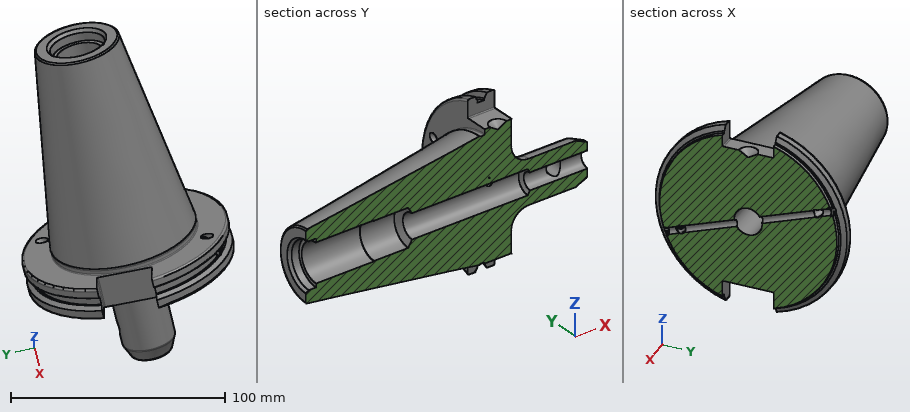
import cadquery as cq
import math


GAUGE_DIA = 69.85
TAPER_RATIO = 7 / 24
SHANK_LENGTH = 101.6
SHANK_CHAMFER = 0.7
RELIEF_DIA = 69.25
RELIEF_START = 1.0
RELIEF_FILLET = 0.4

FLANGE_DIA = 98.425
FLANGE_BACK = 3.175
FLANGE_FRONT = 19.05
FLANGE_ROUND = 1.0
GROOVE_CENTER = 11.1
GROOVE_FLOOR_DIA = 91.3
GROOVE_FLOOR_WIDTH = 3.85
GROOVE_MOUTH_WIDTH = 6.8
GROOVE_SIDE_ANGLE = 30.0

SLOT_WIDTH = 26.2
UPPER_SLOT_FLOOR = 37.6
LOWER_SLOT_FLOOR = 35.2
SLOT_FILLET = 0.5
DIMPLE_DIA = 9.53
DIMPLE_ANGLE = 118.0

PILOT_DIA = 25.4
PILOT_FILLET = 10.0
PROJECTION = 63.5
NOSE_START = 56.5
NOSE_DIA = 19.9
NOSE_BLEND = 0.35
NOSE_CHAMFER = 0.7

MOUTH_DIA = 28.6
MOUTH_CHAMFER_DEPTH = 1.7
COUNTERBORE_DIA = 26.2
COUNTERBORE_DEPTH = 6.0
THREAD_DIA = 21.97
THREAD_DEPTH = 40.0
DEEP_BORE_DIA = 21.5
DEEP_BORE_DEPTH = 60.0
MIDDLE_BORE_DIA = 14.0
MIDDLE_BORE_DEPTH = 130.0
THROUGH_BORE_DIA = 9.53
DRILL_POINT_ANGLE = 118.0

COOLANT_ANGLE = 20.0
COOLANT_RADIUS = 42.0
COOLANT_TILT = 34.0
COOLANT_MOUTH_DIA = 5.0
COOLANT_MOUTH_DEPTH = 2.6
COOLANT_DIA = 4.2
PLUG_DIA = 4.13
PLUG_DEPTH = 1.3
FEED_DIA = 3.24

SCREW_X = 47.0
SCREW_DIA = 8.38


def cone_height(large_dia, small_dia, point_angle):
    return (large_dia - small_dia) / 2 / math.tan(math.radians(point_angle / 2))


def make_body():
    shank_end = -SHANK_LENGTH
    taper_slope = TAPER_RATIO / 2
    gauge_r = GAUGE_DIA / 2
    small_r = gauge_r - taper_slope * SHANK_LENGTH
    relief_r = RELIEF_DIA / 2
    flange_r = FLANGE_DIA / 2
    floor_r = GROOVE_FLOOR_DIA / 2
    half_mouth = GROOVE_MOUTH_WIDTH / 2
    half_floor = GROOVE_FLOOR_WIDTH / 2
    slope_depth = (half_mouth - half_floor) / math.tan(math.radians(GROOVE_SIDE_ANGLE))
    slope_end_r = flange_r - slope_depth
    pilot_r = PILOT_DIA / 2
    nose_r = NOSE_DIA / 2
    nose_angle = math.atan2(pilot_r - nose_r, PROJECTION - NOSE_CHAMFER - NOSE_START)
    blend_end = (
        NOSE_START + NOSE_BLEND * math.cos(nose_angle),
        pilot_r - NOSE_BLEND * math.sin(nose_angle),
    )

    profile = (
        cq.Workplane("XY")
        .moveTo(shank_end, 0)
        .lineTo(shank_end, small_r - SHANK_CHAMFER)
        .lineTo(shank_end + SHANK_CHAMFER, small_r + taper_slope * SHANK_CHAMFER)
        .lineTo(0, gauge_r)
        .lineTo(RELIEF_START, relief_r)
        .lineTo(FLANGE_BACK - RELIEF_FILLET, relief_r)
        .tangentArcPoint((RELIEF_FILLET, RELIEF_FILLET))
        .lineTo(FLANGE_BACK, flange_r - FLANGE_ROUND)
        .tangentArcPoint((FLANGE_ROUND, FLANGE_ROUND))
        .lineTo(GROOVE_CENTER - half_mouth, flange_r)
        .lineTo(GROOVE_CENTER - half_floor, slope_end_r)
        .lineTo(GROOVE_CENTER - half_floor, floor_r)
        .lineTo(GROOVE_CENTER + half_floor, floor_r)
        .lineTo(GROOVE_CENTER + half_floor, slope_end_r)
        .lineTo(GROOVE_CENTER + half_mouth, flange_r)
        .lineTo(FLANGE_FRONT - FLANGE_ROUND, flange_r)
        .tangentArcPoint((FLANGE_ROUND, -FLANGE_ROUND))
        .lineTo(FLANGE_FRONT, pilot_r + PILOT_FILLET)
        .tangentArcPoint((PILOT_FILLET, -PILOT_FILLET))
        .lineTo(NOSE_START - NOSE_BLEND, pilot_r)
        .tangentArcPoint(blend_end, relative=False)
        .lineTo(PROJECTION - NOSE_CHAMFER, nose_r)
        .lineTo(PROJECTION, nose_r - NOSE_CHAMFER)
        .lineTo(PROJECTION, 0)
        .close()
    )
    return profile.revolve(360, (0, 0, 0), (1, 0, 0))


def make_bore():
    start = -SHANK_LENGTH
    deep_end = start + DEEP_BORE_DEPTH
    deep_cone = cone_height(DEEP_BORE_DIA, MIDDLE_BORE_DIA, DRILL_POINT_ANGLE)
    middle_end = start + MIDDLE_BORE_DEPTH
    middle_cone = cone_height(MIDDLE_BORE_DIA, THROUGH_BORE_DIA, DRILL_POINT_ANGLE)

    profile = (
        cq.Workplane("XY")
        .moveTo(start, 0)
        .lineTo(start, MOUTH_DIA / 2)
        .lineTo(start + MOUTH_CHAMFER_DEPTH, COUNTERBORE_DIA / 2)
        .lineTo(start + COUNTERBORE_DEPTH, COUNTERBORE_DIA / 2)
        .lineTo(start + COUNTERBORE_DEPTH, THREAD_DIA / 2)
        .lineTo(start + THREAD_DEPTH, THREAD_DIA / 2)
        .lineTo(start + THREAD_DEPTH, DEEP_BORE_DIA / 2)
        .lineTo(deep_end, DEEP_BORE_DIA / 2)
        .lineTo(deep_end + deep_cone, MIDDLE_BORE_DIA / 2)
        .lineTo(middle_end, MIDDLE_BORE_DIA / 2)
        .lineTo(middle_end + middle_cone, THROUGH_BORE_DIA / 2)
        .lineTo(PROJECTION, THROUGH_BORE_DIA / 2)
        .lineTo(PROJECTION, 0)
        .close()
    )
    return profile.revolve(360, (0, 0, 0), (1, 0, 0))


def make_drive_slot(floor, side):
    """Slot through the flange; side is +1 for the top, -1 for the bottom."""
    height = FLANGE_DIA / 2 - floor
    thickness = FLANGE_FRONT - FLANGE_BACK
    center = ((FLANGE_BACK + FLANGE_FRONT) / 2, 0, side * (floor + height / 2))
    floor_edges = ">Z and |X" if side < 0 else "<Z and |X"
    slot = cq.Workplane("XY").box(thickness, SLOT_WIDTH, height)
    return slot.edges(floor_edges).fillet(SLOT_FILLET).translate(center)


def make_dimple():
    depth = cone_height(DIMPLE_DIA, 0, DIMPLE_ANGLE)
    cone = cq.Solid.makeCone(
        DIMPLE_DIA / 2, 0, depth, cq.Vector(GROOVE_CENTER, 0, UPPER_SLOT_FLOOR), cq.Vector(0, 0, -1)
    )
    return cq.Workplane(obj=cone)


def make_coolant_hole():
    """Radial feed from the bore to the groove, met by a tilted, stepped hole from the flange face.

    Built on the +Y side, in the XY plane.
    """
    tilt = math.radians(COOLANT_TILT)
    mouth = cq.Vector(FLANGE_BACK, COOLANT_RADIUS, 0)
    inward = cq.Vector(math.cos(tilt), -math.sin(tilt), 0)
    outward = cq.Vector(0, 1, 0)
    length = (GROOVE_CENTER - FLANGE_BACK) / math.cos(tilt)
    floor_r = GROOVE_FLOOR_DIA / 2
    plug_start = floor_r - PLUG_DEPTH

    wide = cq.Solid.makeCylinder(
        COOLANT_MOUTH_DIA / 2, 2 * COOLANT_MOUTH_DEPTH, mouth - inward * COOLANT_MOUTH_DEPTH, inward
    )
    narrow = cq.Solid.makeCylinder(COOLANT_DIA / 2, length, mouth, inward)
    feed = cq.Solid.makeCylinder(FEED_DIA / 2, floor_r, cq.Vector(GROOVE_CENTER, 0, 0), outward)
    plug = cq.Solid.makeCylinder(
        PLUG_DIA / 2, 2 * PLUG_DEPTH, cq.Vector(GROOVE_CENTER, plug_start, 0), outward
    )
    return cq.Workplane(obj=wide.fuse(narrow, feed, plug))


def make_screw_hole():
    hole = cq.Solid.makeCylinder(
        SCREW_DIA / 2, PILOT_DIA / 2, cq.Vector(SCREW_X, 0, 0), cq.Vector(0, 1, 0)
    )
    return cq.Workplane(obj=hole)


result = make_body().cut(make_bore())
result = result.cut(make_drive_slot(UPPER_SLOT_FLOOR, 1))
result = result.cut(make_drive_slot(LOWER_SLOT_FLOOR, -1))
result = result.cut(make_dimple())
for turn in (0, 180):
    result = result.cut(make_coolant_hole().rotate((0, 0, 0), (1, 0, 0), COOLANT_ANGLE + turn))
result = result.cut(make_screw_hole())